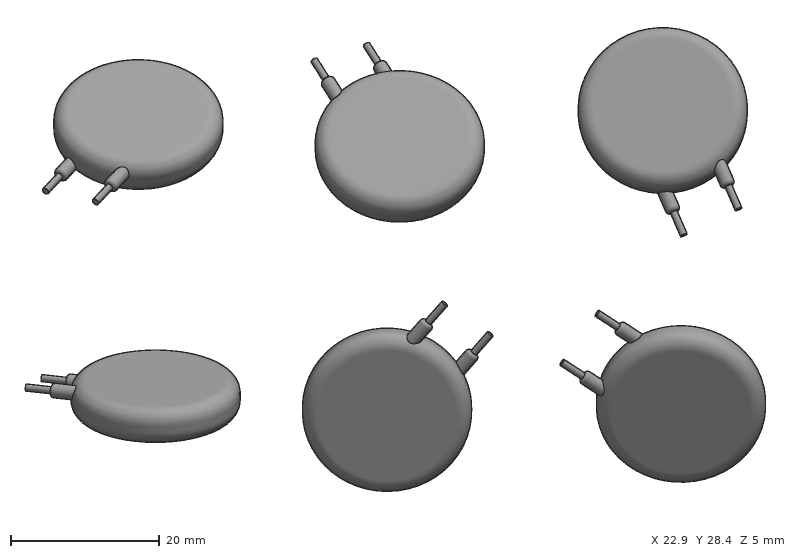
import cadquery as cq

disc_diameter = 22.85
disc_thickness = 5.0
disc_edge_radius = 2.0

overall_length = 28.43
lead_spacing = 8.0
lead_height_step = 2.0
wire_diameter = 1.0
sleeve_diameter = 2 * wire_diameter
sleeve_tip_radius = wire_diameter / 2
wire_exposed_length = 3.5

disc_radius = disc_diameter / 2
wire_reach = overall_length - disc_radius
sleeve_reach = wire_reach - wire_exposed_length
lead_root = disc_radius / 2


def make_disc():
    disc = cq.Workplane("XY").circle(disc_radius).extrude(disc_thickness / 2, both=True)
    return disc.edges("%CIRCLE").fillet(disc_edge_radius)


def lead_rod(x, z, diameter, reach):
    """Round rod along -Y, from inside the disc out to the given reach."""
    start = cq.Workplane("XZ", origin=(x, -lead_root, z))
    return start.circle(diameter / 2).extrude(reach - lead_root)


def make_lead(x, z):
    sleeve = lead_rod(x, z, sleeve_diameter, sleeve_reach)
    sleeve = sleeve.faces("<Y").edges().fillet(sleeve_tip_radius)
    return sleeve.union(lead_rod(x, z, wire_diameter, wire_reach))


result = make_disc()
for side in (-1, 1):
    lead = make_lead(side * lead_spacing / 2, side * lead_height_step / 2)
    result = result.union(lead)